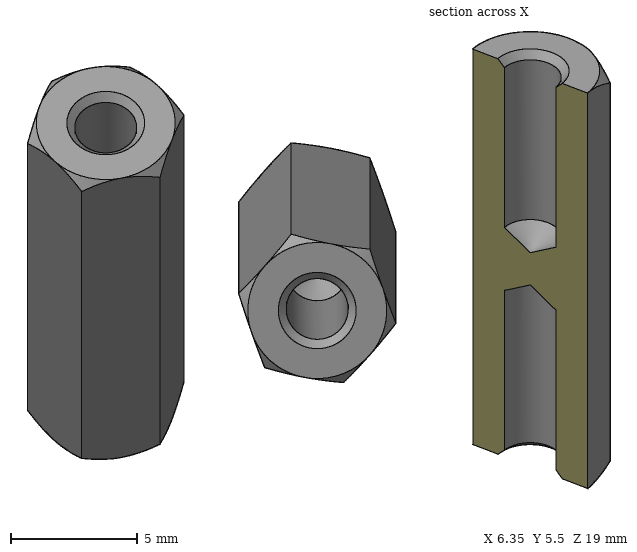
import cadquery as cq
import math

length = 19.0
across_flats = 5.5
across_corners = across_flats / math.cos(math.radians(30))

corner_chamfer = (across_corners - across_flats) / 2

hole_diameter = 2.45
countersink_diameter = 3.08
hole_depth = 7.98
drill_point_angle = 118.0


def hex_body():
    """Hexagonal bar, corners on the X axis, both ends turned to a cone."""
    bar = cq.Workplane("XY").polygon(6, across_corners).extrude(length)
    turned_envelope = (
        cq.Workplane("XY")
        .circle(across_corners / 2)
        .extrude(length)
        .faces("<Z or >Z")
        .chamfer(corner_chamfer)
    )
    return bar.intersect(turned_envelope)


def top_hole():
    """Revolved cutter for the countersunk blind hole in the top end."""
    hole_radius = hole_diameter / 2
    countersink_radius = countersink_diameter / 2
    countersink_depth = countersink_radius - hole_radius
    point_depth = hole_radius / math.tan(math.radians(drill_point_angle / 2))
    return (
        cq.Workplane("XZ")
        .moveTo(0, length)
        .lineTo(countersink_radius, length)
        .lineTo(hole_radius, length - countersink_depth)
        .lineTo(hole_radius, length - hole_depth)
        .lineTo(0, length - hole_depth - point_depth)
        .close()
        .revolve(360, (0, 0, 0), (0, 1, 0))
    )


hole = top_hole()
opposite_hole = hole.mirror("XY", (0, 0, length / 2))
result = hex_body().cut(hole).cut(opposite_hole)